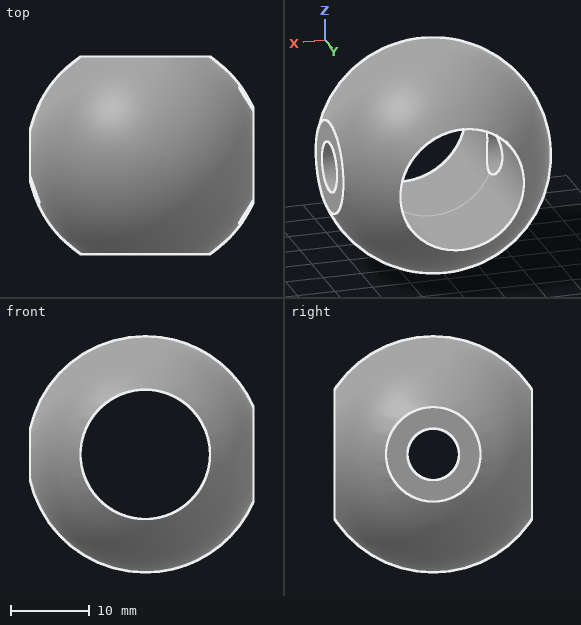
import cadquery as cq
import math

ball_diameter = 30.0
bore_diameter = 16.4
cross_hole_diameter = 6.5
flat_diameter = 12.0

flat_x = math.sqrt(ball_diameter**2 - flat_diameter**2) / 2


def through_cylinder(plane, diameter):
    """Cylinder through the ball centre, long enough to pass both sides."""
    return cq.Workplane(plane).circle(diameter / 2).extrude(ball_diameter, both=True)


ball = cq.Workplane("XY").sphere(ball_diameter / 2)

flat_cutter = (
    cq.Workplane("YZ")
    .workplane(offset=flat_x)
    .rect(ball_diameter, ball_diameter)
    .extrude(ball_diameter)
)

main_bore = through_cylinder("XZ", bore_diameter)
cross_hole = through_cylinder("YZ", cross_hole_diameter)

result = ball.cut(flat_cutter).cut(main_bore).cut(cross_hole)